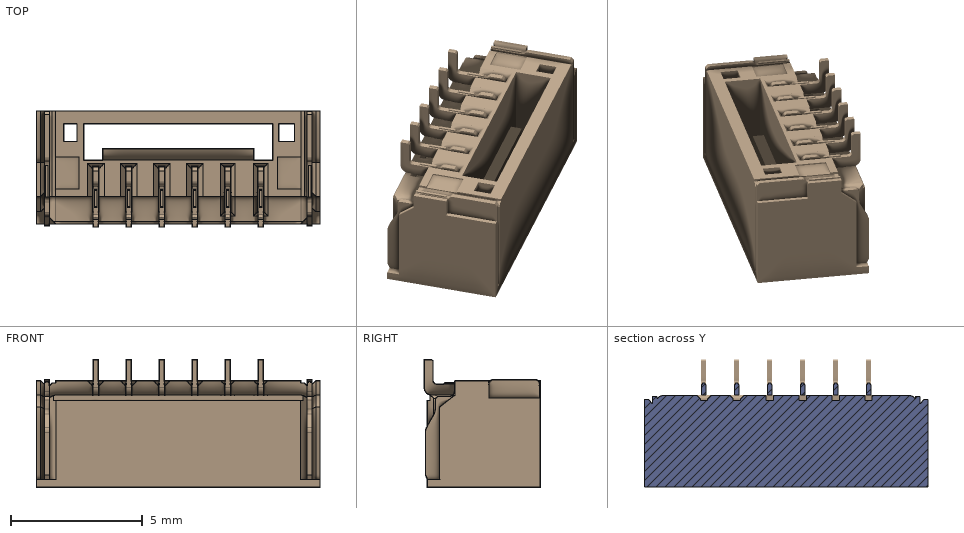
import cadquery as cq


LENGTH = 10.75
DEPTH = 4.29
TOP_Z = 4.05
SHELF_Z = 3.5
SHELF_DEPTH = 3.24
LIP_WIDTH = 0.1
LIP_DROP = 0.2
BASE_HEIGHT = 0.3
CORE_INSET = 0.49
END_RIM_INSET = 0.73
RIM_DROP = 0.09
RIM_CHAMFER = 0.1
SHELF_ROUND_WIDTH = 0.24
SHELF_ROUND_DROP = 0.12
FRONT_CHAMFER = 0.25

WALL = 0.3
WALL_DEPTH = 3.82
WALL_SLOPE_Z = 3.05
WALL_NOTCH_DEPTH = 1.95
WALL_NOTCH_Z = 3.4
WALL_CHAMFER = 0.14
SELECT_MARGIN = 0.01

WINDOW_LENGTH = 7.15
WINDOW_BACK = 0.49
WINDOW_FRONT = 1.86
LEDGE_LENGTH = 5.74
LEDGE_WIDTH = 0.43
LEDGE_TOP_Z = 2.0
SMALL_HOLE_FRONT = 1.15
LEFT_HOLE = (1.04, 1.53)
RIGHT_HOLE = (0.97, 1.56)

LABEL_INNER = 1.61
LABEL_BACK = 1.75
LABEL_FRONT = 2.95
LABEL_SINK = 0.05

PIN_COUNT = 6
PIN_PITCH = 1.25
PIN_WIDTH = 0.2
PIN_TOP_Z = 4.85
PIN_FRONT = 4.4
PIN_THICKNESS = 0.34
PIN_BACK = 2.13
PIN_ARM_Z = 3.92
PIN_REAR_Z = 4.04
PIN_REAR_FLAT_END = 2.74
PIN_REAR_STEP_END = 2.89
PIN_STEP_RADIUS = 0.12
PIN_END_CHAMFER = 0.14
PIN_TIP_CHAMFER = 0.06
PIN_INNER_RADIUS = 0.13
PIN_OUTER_RADIUS = 0.28
RIDGE_WIDTH = 0.1
RIDGE_HEIGHT = 0.05
RIDGE_END_CHAMFER = 0.04
PIN_RIDGE_BACK = 2.98
PIN_RIDGE_FRONT = 3.66

SLOT_WIDTH = 0.25
SLOT_BACK = 2.09
SLOT_FRONT = 3.83
SLOT_FLOOR_Z = 3.3
FUNNEL_BACK = 1.99
FUNNEL_WIDTH = 0.64
NARROW_FUNNEL_WIDTH = 0.54
TAPER_SHARE = 0.999
NARROW_FUNNEL_COUNT = 2

CLIP_TOP_Z = 4.09
CLIP_BACK = 0.03
CLIP_CHAMFER = 0.1
CLIP_STEP_TOP = 1.85
CLIP_STEP_FOOT = 1.96
CLIP_MID_Z = 3.97
CLIP_MID_FRONT = 3.26
CLIP_SHOULDER_Z = 3.45
CLIP_NECK = 3.98
CLIP_NECK_FOOT_Z = 2.87
CLIP_LEG_FRONT = 4.36
CLIP_LEG_TOP_Z = 2.19
CLIP_FOOT_CHAMFER_X = 0.08
CLIP_FOOT_CHAMFER_Z = 0.18
CLIP_STEP_RADIUS = 0.13
CLIP_SHOULDER_INNER_RADIUS = 0.19
CLIP_SHOULDER_OUTER_RADIUS = 0.14
CLIP_LEG_RADIUS = 0.38
CLIP_RIDGE_BACK = 2.06


def box(x0, x1, front, back, z0, z1):
    """Block between two X values, two distances from the back face and two heights."""
    return cq.Workplane("XY").box(x1 - x0, front - back, z1 - z0, centered=False).translate(
        (x0, -front, z0)
    )


def plate(profile, x0, thickness):
    """Plate parallel to YZ from (distance from back, height) points."""
    points = [(-depth, z) for depth, z in profile]
    return cq.Workplane("YZ").polyline(points).close().extrude(thickness).translate((x0, 0, 0))


def round_corner(solid, mid_x, corner, radius):
    """Fillet the plate edge that runs along X through a profile corner."""
    depth, z = corner
    edge = cq.selectors.NearestToPointSelector((mid_x, -depth, z))
    return solid.edges(edge).fillet(radius)


def both_ends(left_feature):
    """The feature at the -X end together with its mirror image."""
    return left_feature.union(left_feature.mirror("YZ"))


END_X = -LENGTH / 2


def make_core():
    profile = [
        (0, 0),
        (DEPTH, 0),
        (DEPTH, SHELF_Z - LIP_DROP),
        (DEPTH - LIP_WIDTH, SHELF_Z - LIP_DROP),
        (DEPTH - LIP_WIDTH, SHELF_Z),
        (SHELF_DEPTH, SHELF_Z),
        (SHELF_DEPTH, TOP_Z),
        (0, TOP_Z),
    ]
    core_x = END_X + CORE_INSET
    core = plate(profile, core_x, LENGTH - 2 * CORE_INSET)

    corner = (
        cq.Workplane("XY")
        .polyline([
            (core_x, -DEPTH),
            (core_x + FRONT_CHAMFER, -DEPTH),
            (core_x, -DEPTH + FRONT_CHAMFER),
        ])
        .close()
        .extrude(TOP_Z)
    )
    rim_z = TOP_Z - RIM_DROP
    rim = (
        cq.Workplane("XZ")
        .polyline([
            (core_x, TOP_Z),
            (END_X + END_RIM_INSET, TOP_Z),
            (END_X + END_RIM_INSET, rim_z),
            (core_x + RIM_CHAMFER, rim_z),
            (core_x, rim_z - RIM_CHAMFER),
        ])
        .close()
        .extrude(SHELF_DEPTH)
    )
    shelf_edge = (
        cq.Workplane("XZ", origin=(0, -SHELF_DEPTH, 0))
        .moveTo(core_x, SHELF_Z)
        .lineTo(core_x + SHELF_ROUND_WIDTH, SHELF_Z)
        .threePointArc(
            (core_x + SHELF_ROUND_WIDTH / 2, SHELF_Z - SHELF_ROUND_DROP / 4),
            (core_x, SHELF_Z - SHELF_ROUND_DROP),
        )
        .close()
        .extrude(DEPTH - SHELF_DEPTH)
    )
    core = core.cut(both_ends(corner)).cut(both_ends(rim)).cut(both_ends(shelf_edge))
    return core.union(box(END_X, -END_X, DEPTH, 0, 0, BASE_HEIGHT))


def make_end_wall():
    front_part = plate(
        [
            (WALL_NOTCH_DEPTH, BASE_HEIGHT),
            (WALL_DEPTH, BASE_HEIGHT),
            (WALL_DEPTH, WALL_SLOPE_Z),
            (SHELF_DEPTH, SHELF_Z),
            (SHELF_DEPTH, TOP_Z),
            (WALL_NOTCH_DEPTH, TOP_Z),
        ],
        END_X,
        WALL,
    )
    rear_part = box(END_X, END_X + WALL, WALL_NOTCH_DEPTH, 0, BASE_HEIGHT, WALL_NOTCH_Z)
    hidden_front = cq.selectors.BoxSelector(
        (END_X, -WALL_NOTCH_DEPTH - SELECT_MARGIN, 0),
        (-END_X, -WALL_NOTCH_DEPTH + SELECT_MARGIN, TOP_Z),
    )
    front_part = (
        front_part.faces(">X").edges()
        .edges(cq.selectors.InverseSelector(hidden_front))
        .edges("not <Z")
        .chamfer(WALL_CHAMFER)
    )
    rear_part = rear_part.faces(">X").edges(">Z").chamfer(WALL_CHAMFER)
    return front_part.union(rear_part)


def make_clip():
    thickness = CORE_INSET - WALL
    x0 = END_X + WALL
    step_top = (CLIP_STEP_TOP, CLIP_TOP_Z)
    step_foot = (CLIP_STEP_FOOT, CLIP_MID_Z)
    shoulder_inner = (CLIP_MID_FRONT, CLIP_SHOULDER_Z)
    shoulder_outer = (CLIP_NECK, CLIP_SHOULDER_Z)
    neck_foot = (CLIP_NECK, CLIP_NECK_FOOT_Z)
    leg_top = (CLIP_LEG_FRONT, CLIP_LEG_TOP_Z)
    profile = [
        (CLIP_BACK, BASE_HEIGHT),
        (CLIP_LEG_FRONT - CLIP_FOOT_CHAMFER_X, BASE_HEIGHT),
        (CLIP_LEG_FRONT, BASE_HEIGHT + CLIP_FOOT_CHAMFER_Z),
        leg_top,
        neck_foot,
        shoulder_outer,
        shoulder_inner,
        (CLIP_MID_FRONT, CLIP_MID_Z),
        step_foot,
        step_top,
        (CLIP_BACK + CLIP_CHAMFER, CLIP_TOP_Z),
        (CLIP_BACK, CLIP_TOP_Z - CLIP_CHAMFER),
    ]
    clip = plate(profile, x0, thickness)
    for corner, radius in [
        (step_top, CLIP_STEP_RADIUS),
        (step_foot, CLIP_STEP_RADIUS),
        (shoulder_inner, CLIP_SHOULDER_INNER_RADIUS),
        (shoulder_outer, CLIP_SHOULDER_OUTER_RADIUS),
        (neck_foot, CLIP_LEG_RADIUS),
        (leg_top, CLIP_LEG_RADIUS),
    ]:
        clip = round_corner(clip, x0 + thickness / 2, corner, radius)
    ridge_x = x0 + (thickness - RIDGE_WIDTH) / 2
    ridge = box(
        ridge_x, ridge_x + RIDGE_WIDTH,
        CLIP_MID_FRONT, CLIP_RIDGE_BACK,
        CLIP_MID_Z, CLIP_MID_Z + RIDGE_HEIGHT,
    )
    return clip.union(ridge)


def cut_openings(body):
    half = WINDOW_LENGTH / 2
    body = body.cut(box(-half, half, WINDOW_FRONT, WINDOW_BACK, 0, TOP_Z))
    near, far = LEFT_HOLE
    body = body.cut(box(END_X + near, END_X + far, SMALL_HOLE_FRONT, WINDOW_BACK, 0, TOP_Z))
    near, far = RIGHT_HOLE
    body = body.cut(box(-END_X - far, -END_X - near, SMALL_HOLE_FRONT, WINDOW_BACK, 0, TOP_Z))
    ledge_half = LEDGE_LENGTH / 2
    ledge = box(-ledge_half, ledge_half, WINDOW_FRONT, WINDOW_FRONT - LEDGE_WIDTH, 0, LEDGE_TOP_Z)
    return body.union(ledge)


def cut_labels(body):
    label = box(
        END_X + END_RIM_INSET, END_X + LABEL_INNER,
        LABEL_FRONT, LABEL_BACK,
        TOP_Z - LABEL_SINK, TOP_Z,
    )
    return body.cut(both_ends(label))


def funnel(x, width, back, front, top_z, open_front):
    """Pocket whose walls taper at 45 degrees down to the slot width."""
    taper = (width - SLOT_WIDTH) / 2
    end = front + taper if open_front else front
    pocket = box(x - width / 2, x + width / 2, end, back, top_z - taper, top_z)
    return pocket.faces("<Z").edges().chamfer(taper * TAPER_SHARE)


def make_slot(index, x):
    narrow = index >= PIN_COUNT - NARROW_FUNNEL_COUNT
    width = NARROW_FUNNEL_WIDTH if narrow else FUNNEL_WIDTH
    slot = box(x - SLOT_WIDTH / 2, x + SLOT_WIDTH / 2, SLOT_FRONT, SLOT_BACK, SLOT_FLOOR_Z, TOP_Z)
    slot = slot.union(funnel(x, width, FUNNEL_BACK, SHELF_DEPTH, TOP_Z, True))
    if narrow:
        taper = (width - SLOT_WIDTH) / 2
        slot = slot.union(funnel(x, width, SHELF_DEPTH - taper, SLOT_FRONT + taper, SHELF_Z, False))
    return slot


def make_pin(x):
    leg_back = PIN_FRONT - PIN_THICKNESS
    profile = [
        (PIN_BACK, SLOT_FLOOR_Z),
        (PIN_REAR_STEP_END, SLOT_FLOOR_Z),
        (PIN_REAR_STEP_END, SHELF_Z),
        (PIN_FRONT, SHELF_Z),
        (PIN_FRONT, PIN_TOP_Z),
        (leg_back + PIN_TIP_CHAMFER, PIN_TOP_Z),
        (leg_back, PIN_TOP_Z - PIN_TIP_CHAMFER),
        (leg_back, PIN_ARM_Z),
        (PIN_REAR_STEP_END, PIN_ARM_Z),
        (PIN_REAR_FLAT_END, PIN_REAR_Z),
        (PIN_BACK + PIN_END_CHAMFER, PIN_REAR_Z),
        (PIN_BACK, PIN_REAR_Z - PIN_END_CHAMFER),
    ]
    pin = plate(profile, x - PIN_WIDTH / 2, PIN_WIDTH)
    for corner, radius in [
        ((leg_back, PIN_ARM_Z), PIN_INNER_RADIUS),
        ((PIN_FRONT, SHELF_Z), PIN_OUTER_RADIUS),
        ((PIN_REAR_STEP_END, PIN_ARM_Z), PIN_STEP_RADIUS),
        ((PIN_REAR_FLAT_END, PIN_REAR_Z), PIN_STEP_RADIUS),
    ]:
        pin = round_corner(pin, x, corner, radius)
    ridge = box(
        x - RIDGE_WIDTH / 2, x + RIDGE_WIDTH / 2,
        PIN_RIDGE_FRONT, PIN_RIDGE_BACK,
        PIN_ARM_Z, PIN_ARM_Z + RIDGE_HEIGHT,
    )
    ridge = ridge.edges("|X and >Z").chamfer(RIDGE_END_CHAMFER)
    return pin.union(ridge)


body = make_core()
body = cut_openings(body)
body = cut_labels(body)

pin_positions = [(i - (PIN_COUNT - 1) / 2) * PIN_PITCH for i in range(PIN_COUNT)]
for i, pin_x in enumerate(pin_positions):
    body = body.cut(make_slot(i, pin_x))
for pin_x in pin_positions:
    body = body.union(make_pin(pin_x))

result = body.union(both_ends(make_end_wall())).union(both_ends(make_clip()))